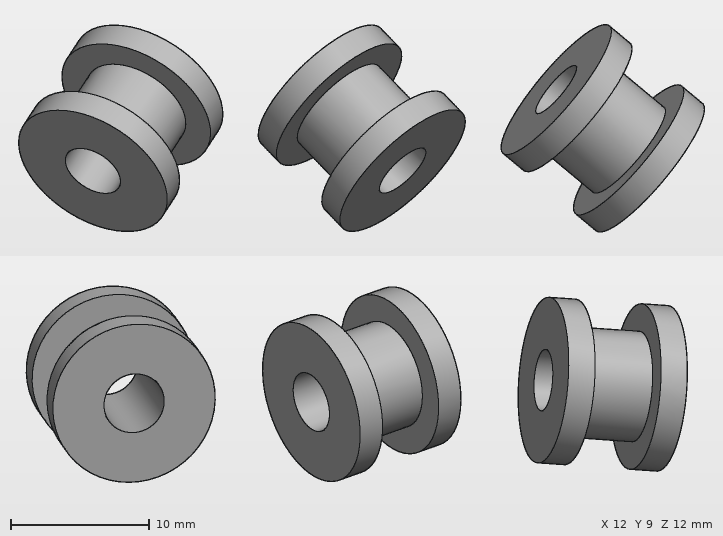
import cadquery as cq

flange_diameter = 12.0
flange_thickness = 2.0
hub_diameter = 8.0
hub_length = 5.0
bore_diameter = 4.45

flange_radius = flange_diameter / 2
hub_radius = hub_diameter / 2
bore_radius = bore_diameter / 2
inner_face_y = hub_length / 2
outer_face_y = inner_face_y + flange_thickness


def spool_section():
    """Half section of the spool in the YZ plane, as (axial, radial) points."""
    return cq.Workplane("YZ").polyline([
        (-outer_face_y, bore_radius),
        (-outer_face_y, flange_radius),
        (-inner_face_y, flange_radius),
        (-inner_face_y, hub_radius),
        (inner_face_y, hub_radius),
        (inner_face_y, flange_radius),
        (outer_face_y, flange_radius),
        (outer_face_y, bore_radius),
    ]).close()


result = spool_section().revolve(360, (0, 0, 0), (1, 0, 0))